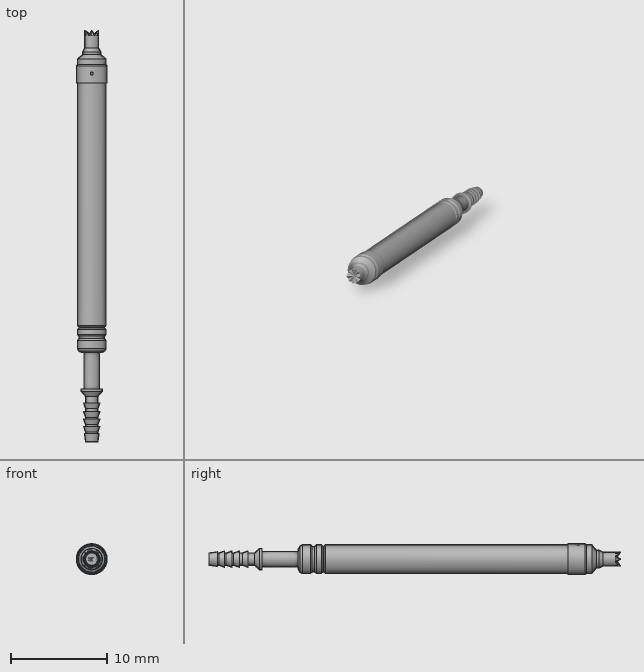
import cadquery as cq
import math

LENGTH = 42.7

BARB_ROOT_R = 0.65
BARB_TIP_R = 0.85
END_RING_R = 0.75
FLANGE_R = 1.1
STEM_R = 0.8
BODY_R = 1.5
COLLAR_R = 1.6
NOSE_R = 0.95
PLUNGER_R = 0.73

END_RING_Y = 0.9
BARB_FACES_Y = (1.62, 2.4, 3.15, 4.05)
BARB_LENGTH = 0.6
FLANGE_CONE_START_Y = 4.75
FLANGE_RIM_Y = 5.25
FLANGE_TOP_Y = 5.5

BODY_START_Y = 9.25
BODY_ENTRY_R = 1.02
BODY_STEP_Y = 9.45
BODY_STEP_R = 1.35
BODY_EDGE_Y = 9.7
DEEP_GROOVE_Y = 10.85
DEEP_GROOVE_DEPTH = 0.15
DEEP_GROOVE_FLOOR = 0.25
SHALLOW_GROOVE_Y = 11.85
SHALLOW_GROOVE_DEPTH = 0.15
SHALLOW_GROOVE_FLOOR = 0.1

COLLAR_START_Y = 37.25
COLLAR_END_Y = 39.0
NOSE_RING_START_Y = 39.15
NOSE_RING_END_Y = 39.7
NOSE_START_Y = 40.2
NOSE_END_Y = 40.45
PLUNGER_START_Y = 40.85

CROWN_GROOVE_OFFSET = 26.0
CROWN_GROOVE_ANGLE = 60.0

DIMPLE_Y = 38.2
DIMPLE_DIAMETER = 0.3
DIMPLE_DEPTH = 0.2


def barb_points(face_y):
    """Cone widening towards a flat, square-cut face at face_y."""
    return [
        (BARB_ROOT_R, face_y - BARB_LENGTH),
        (BARB_TIP_R, face_y),
        (BARB_ROOT_R, face_y),
    ]


def groove_points(centre_y, depth, floor_width):
    """Groove in the body surface with a flat floor and 45-degree sides."""
    floor_half = floor_width / 2
    return [
        (BODY_R, centre_y - floor_half - depth),
        (BODY_R - depth, centre_y - floor_half),
        (BODY_R - depth, centre_y + floor_half),
        (BODY_R, centre_y + floor_half + depth),
    ]


def turned_profile():
    """Half outline as (radius, Y) points, from the barbed end to the crown."""
    points = [
        (0, 0),
        (BARB_ROOT_R, 0),
        (END_RING_R, END_RING_Y),
        (BARB_ROOT_R, END_RING_Y),
    ]
    for face_y in BARB_FACES_Y:
        points += barb_points(face_y)
    points += [
        (BARB_ROOT_R, FLANGE_CONE_START_Y),
        (FLANGE_R, FLANGE_RIM_Y),
        (FLANGE_R, FLANGE_TOP_Y),
        (STEM_R, FLANGE_TOP_Y),
        (STEM_R, BODY_START_Y),
        (BODY_ENTRY_R, BODY_START_Y),
        (BODY_STEP_R, BODY_STEP_Y),
        (BODY_R, BODY_EDGE_Y),
    ]
    points += groove_points(DEEP_GROOVE_Y, DEEP_GROOVE_DEPTH, DEEP_GROOVE_FLOOR)
    points += groove_points(SHALLOW_GROOVE_Y, SHALLOW_GROOVE_DEPTH, SHALLOW_GROOVE_FLOOR)
    points += [
        (BODY_R, COLLAR_START_Y),
        (COLLAR_R, COLLAR_START_Y),
        (COLLAR_R, COLLAR_END_Y),
        (BODY_R, NOSE_RING_START_Y),
        (BODY_R, NOSE_RING_END_Y),
        (NOSE_R, NOSE_START_Y),
        (NOSE_R, NOSE_END_Y),
        (PLUNGER_R, PLUNGER_START_Y),
        (PLUNGER_R, LENGTH),
        (0, LENGTH),
    ]
    return points


def crown_groove(angle):
    """V cutter across the tip, turned by angle about the Y axis."""
    half_width = PLUNGER_R * math.sin(math.radians(CROWN_GROOVE_OFFSET))
    depth = half_width / math.tan(math.radians(CROWN_GROOVE_ANGLE / 2))
    return (
        cq.Workplane("XY")
        .polyline([(-half_width, LENGTH), (0, LENGTH - depth), (half_width, LENGTH)])
        .close()
        .extrude(2 * PLUNGER_R, both=True)
        .rotate((0, 0, 0), (0, 1, 0), angle)
    )


def collar_dimple():
    """Blind round hole entering the collar from +Z."""
    return (
        cq.Workplane("XY", origin=(0, DIMPLE_Y, COLLAR_R - DIMPLE_DEPTH))
        .circle(DIMPLE_DIAMETER / 2)
        .extrude(2 * DIMPLE_DEPTH)
    )


result = cq.Workplane("XY").polyline(turned_profile()).close().revolve(360, (0, 0, 0), (0, 1, 0))
for axis_angle in (0, 90):
    for side in (-1, 1):
        result = result.cut(crown_groove(axis_angle + side * CROWN_GROOVE_OFFSET))
result = result.cut(collar_dimple())